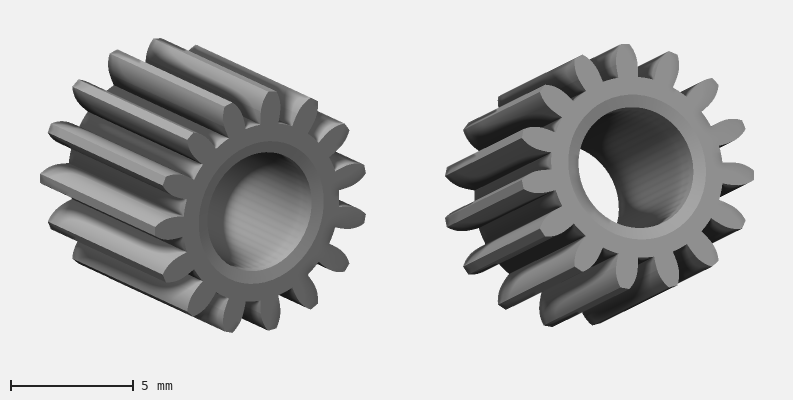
import cadquery as cq
import math

face_width = 8.89
tooth_count = 15
tip_radius = 5.1
root_radius = 3.75
bore_radius = 2.5
chamfer_width = 0.5
chamfer_depth = 0.13

root_half_thickness = 0.43
flank_half_thickness = 0.46
widest_half_thickness = 0.47
tip_half_thickness = 0.19
flank_x = 4.0
widest_x = 4.28

tooth_pitch_angle = 360 / tooth_count
first_tooth_angle = 180


def distance_along_tooth(radius, half_thickness):
    """Position along the tooth centreline of a point on a given circle."""
    return math.sqrt(radius**2 - half_thickness**2)


def make_tooth(angle):
    """One tooth with smoothly curved sides and a flat tip, starting inside the gear body."""
    root_x = distance_along_tooth(root_radius, root_half_thickness)
    tip_x = distance_along_tooth(tip_radius, tip_half_thickness)
    embedded_x = (bore_radius + chamfer_width + root_radius) / 2
    return (
        cq.Workplane("YZ")
        .moveTo(embedded_x, 0)
        .lineTo(embedded_x, root_half_thickness)
        .lineTo(root_x, root_half_thickness)
        .threePointArc((flank_x, flank_half_thickness), (widest_x, widest_half_thickness))
        .tangentArcPoint((tip_x, tip_half_thickness), relative=False)
        .lineTo(tip_x, 0)
        .mirrorX()
        .extrude(face_width / 2, both=True)
        .rotate((0, 0, 0), (1, 0, 0), angle)
    )


def make_body():
    """Root cylinder with a through bore, shallowly chamfered at both ends."""
    end_x = face_width / 2
    chamfer_end_x = end_x - chamfer_depth
    mouth_radius = bore_radius + chamfer_width
    half_section = [
        (-end_x, mouth_radius),
        (-end_x, root_radius),
        (end_x, root_radius),
        (end_x, mouth_radius),
        (chamfer_end_x, bore_radius),
        (-chamfer_end_x, bore_radius),
    ]
    return (
        cq.Workplane("XZ")
        .polyline(half_section)
        .close()
        .revolve(360, (0, 0, 0), (1, 0, 0))
    )


result = make_body()
for tooth_index in range(tooth_count):
    result = result.union(make_tooth(first_tooth_angle + tooth_index * tooth_pitch_angle))